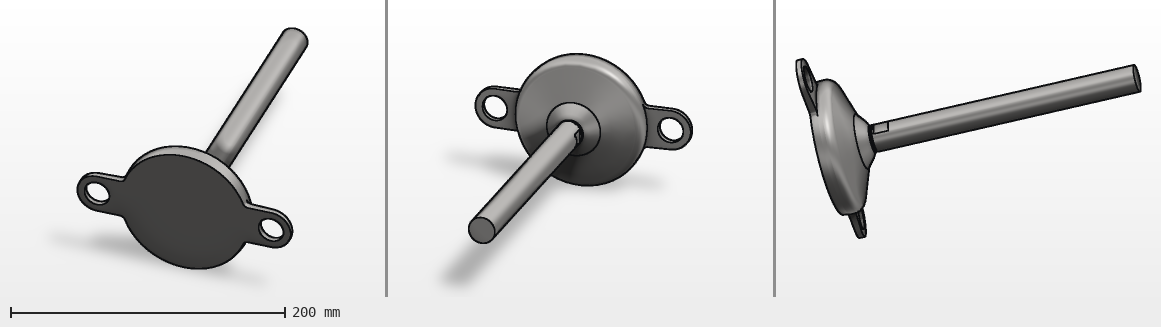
import cadquery as cq

TOTAL_LENGTH = 235.0

FOOT_RADIUS = 50.0
FLOOR_RADIUS = 49.4
PLATE_HEIGHT = 5.6
LUG_TIP_X = 83.0
LUG_RADIUS = 15.3
LUG_TIP_HEIGHT = 4.0
LUG_HOLE_RADIUS = 9.6
LUG_CENTER_X = LUG_TIP_X - LUG_RADIUS
LUG_FILLET = 4.0

RIM_HEIGHT = 9.2
SHOULDER = (44.2, 16.0)
SHOULDER_MID = (48.5, 13.2)
CONE_TOP = (20.7, 25.4)
HUB_MID = (16.0, 29.5)
HUB_TOP_RADIUS = 10.0
HUB_HEIGHT = 33.4
FOOT_HEIGHT = 33.8

ROD_RADIUS = 10.0
NECK_RADIUS = 8.7
COLLAR_START = 35.2
FLAT_START = 37.0
FLAT_END = 48.2
ACROSS_FLATS = 17.2


def along_y(start):
    """Workplane facing +Y at the given height; its local axes are X and -Z."""
    return cq.Workplane("XZ", origin=(0, start, 0)).transformed(rotate=(180, 0, 0))


def make_plate():
    """Tapered round plate below the rim."""
    profile = [(0, 0), (FLOOR_RADIUS, 0), (FOOT_RADIUS, PLATE_HEIGHT), (0, PLATE_HEIGHT)]
    return cq.Workplane("XY").polyline(profile).close().revolve(360, (0, 0), (0, 1))


def make_lugs():
    """Bar with round ends whose top slopes down from the plate to both tips."""
    outline = (
        along_y(0)
        .slot2D(2 * LUG_TIP_X, 2 * LUG_RADIUS)
        .extrude(PLATE_HEIGHT)
    )
    side_profile = [
        (-LUG_TIP_X, 0),
        (LUG_TIP_X, 0),
        (LUG_TIP_X, LUG_TIP_HEIGHT),
        (FOOT_RADIUS, PLATE_HEIGHT),
        (-FOOT_RADIUS, PLATE_HEIGHT),
        (-LUG_TIP_X, LUG_TIP_HEIGHT),
    ]
    slope = cq.Workplane("XY").polyline(side_profile).close().extrude(LUG_RADIUS, both=True)
    return outline.intersect(slope)


def make_dome():
    """Rounded rim, shallow cone and rounded hub above the plate."""
    return (
        cq.Workplane("XY")
        .moveTo(0, PLATE_HEIGHT)
        .lineTo(FOOT_RADIUS, PLATE_HEIGHT)
        .lineTo(FOOT_RADIUS, RIM_HEIGHT)
        .threePointArc(SHOULDER_MID, SHOULDER)
        .lineTo(*CONE_TOP)
        .threePointArc(HUB_MID, (HUB_TOP_RADIUS, HUB_HEIGHT))
        .lineTo(HUB_TOP_RADIUS, FOOT_HEIGHT)
        .lineTo(0, FOOT_HEIGHT)
        .close()
        .revolve(360, (0, 0), (0, 1))
    )


def make_foot():
    base = make_plate().union(make_lugs())
    corner_x = (FOOT_RADIUS**2 - LUG_RADIUS**2) ** 0.5
    margin = 2.4
    for side in (-1, 1):
        near, far = sorted((side * (corner_x - margin), side * (corner_x + margin)))
        for end in (-1, 1):
            low, high = sorted((end * (LUG_RADIUS - margin), end * (LUG_RADIUS + margin)))
            corner = cq.selectors.BoxSelector(
                (near, PLATE_HEIGHT / 4, low), (far, PLATE_HEIGHT * 3 / 4, high)
            )
            base = base.edges(corner).fillet(LUG_FILLET)
    holes = (
        along_y(0)
        .pushPoints([(-LUG_CENTER_X, 0), (LUG_CENTER_X, 0)])
        .circle(LUG_HOLE_RADIUS)
        .extrude(PLATE_HEIGHT)
    )
    return base.union(make_dome()).cut(holes)


def make_spindle():
    """Rod standing on the foot, with a thin neck and two wrench flats facing +X and -X."""
    neck = along_y(FOOT_HEIGHT).circle(NECK_RADIUS).extrude(COLLAR_START - FOOT_HEIGHT)
    rod = along_y(COLLAR_START).circle(ROD_RADIUS).extrude(TOTAL_LENGTH - COLLAR_START)
    flat_center = (ACROSS_FLATS + ROD_RADIUS) / 2
    flats = (
        along_y(FLAT_START)
        .pushPoints([(-flat_center, 0), (flat_center, 0)])
        .rect(ROD_RADIUS, 2 * ROD_RADIUS)
        .extrude(FLAT_END - FLAT_START)
    )
    return neck.union(rod).cut(flats)


foot = make_foot().solids()
spindle = make_spindle().solids()
result = cq.Compound.makeCompound([foot.val(), spindle.val()])